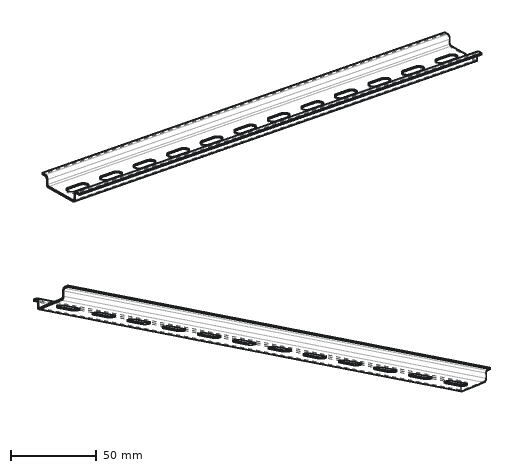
import cadquery as cq

length = 300.0
width = 35.0
height = 7.5
thickness = 1.0
channel_width = 27.0
floor_bend_radius = 1.0
flange_bend_radius = 1.3

slot_count = 12
slot_pitch = length / slot_count
slot_length = 15.0
slot_width = 6.3

half_width = width / 2
wall_outside = channel_width / 2
wall_inside = wall_outside - thickness
flange_underside = height - thickness


def rail_section():
    """Closed hat-shaped outline, running along the rail when extruded."""
    right_half = [
        (wall_outside, 0),
        (wall_outside, flange_underside),
        (half_width, flange_underside),
        (half_width, height),
        (wall_inside, height),
        (wall_inside, thickness),
    ]
    left_half = [(-x, z) for x, z in reversed(right_half)]
    return cq.Workplane("XZ").polyline(right_half + left_half).close()


def round_bends(rail):
    """Round both faces of the floor bends and the flange bends."""
    bends = [
        (wall_outside, 0, floor_bend_radius + thickness),
        (wall_inside, thickness, floor_bend_radius),
        (wall_inside, height, flange_bend_radius + thickness),
        (wall_outside, flange_underside, flange_bend_radius),
    ]
    for x, z, radius in bends:
        for side in (-1, 1):
            corner_edge = cq.selectors.NearestToPointSelector((side * x, 0, z))
            rail = rail.edges("|Y").edges(corner_edge).fillet(radius)
    return rail


def floor_slots():
    """Row of evenly spaced lengthwise slots through the floor."""
    return (
        cq.Workplane("XY")
        .rarray(3, slot_pitch, 1, slot_count)
        .slot2D(slot_length, slot_width, 90)
        .extrude(height)
    )


rail = rail_section().extrude(length / 2, both=True)
result = round_bends(rail).cut(floor_slots())